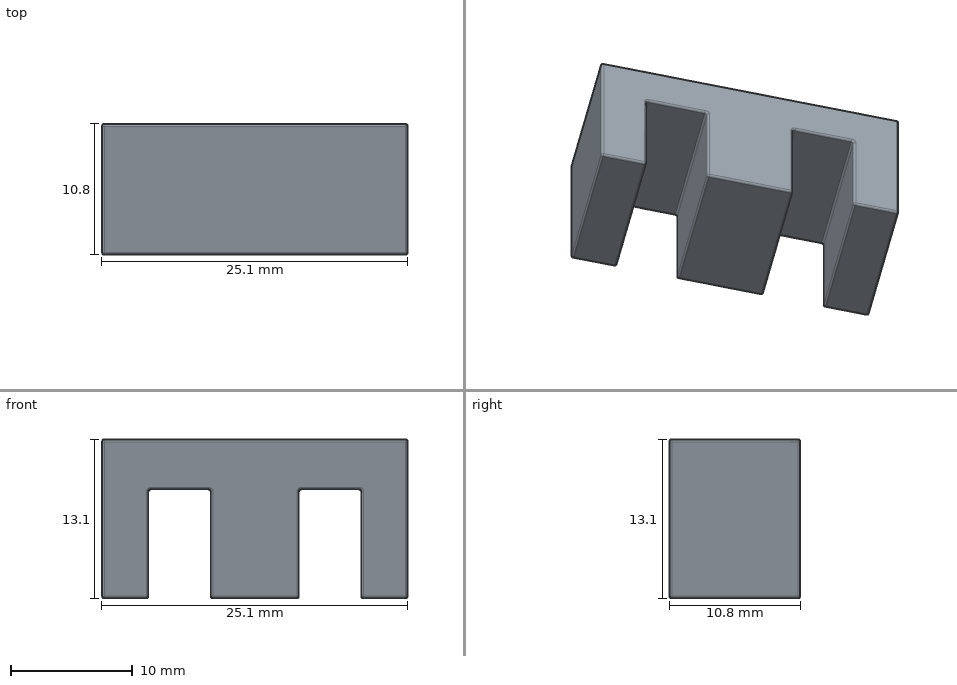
import cadquery as cq

length = 25.1
depth = 10.75
height = 13.05

middle_leg_width = 7.25
outer_leg_width = 3.82
slot_height = 8.94
slot_width = (length - middle_leg_width - 2 * outer_leg_width) / 2
slot_offset = (middle_leg_width + slot_width) / 2

edge_radius = 0.188


def make_slot(center_x):
    """Slot through the full depth, open at the bottom face."""
    return (
        cq.Workplane("XY")
        .box(slot_width, depth, slot_height, centered=(True, True, False))
        .translate((center_x, 0, 0))
    )


core = cq.Workplane("XY").box(length, depth, height, centered=(True, True, False))
for side in (-1, 1):
    core = core.cut(make_slot(side * slot_offset))

result = core.edges().fillet(edge_radius)